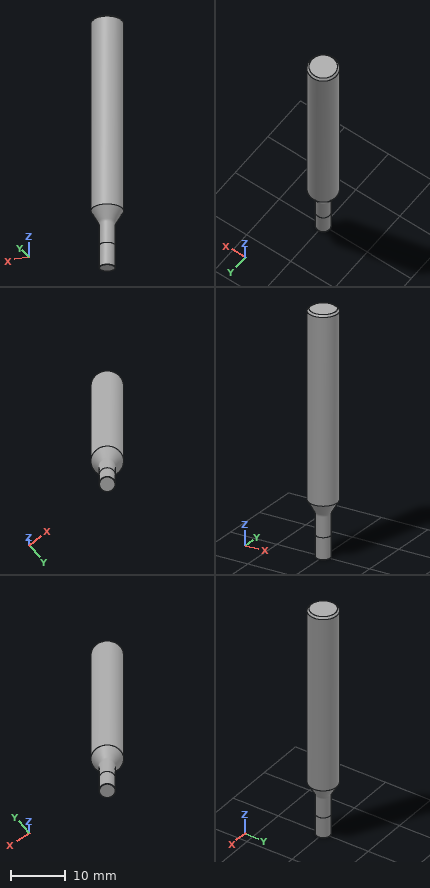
import cadquery as cq
import math

overall_length = 50.0
shank_diameter = 6.0
shank_chamfer = 0.4
cutter_diameter = 3.0
cutter_length = 4.5
cutter_edge_chamfer = 0.08
taper_half_angle = math.radians(30)
taper_top_height = 11.55
neck_blend_radius = 1.1

shank_radius = shank_diameter / 2
cutter_radius = cutter_diameter / 2
neck_radius = cutter_radius

taper_height = (shank_radius - neck_radius) / math.tan(taper_half_angle)
corner_height = taper_top_height - taper_height
blend_tangent_length = neck_blend_radius * math.tan(taper_half_angle / 2)
blend_start_height = corner_height - blend_tangent_length
blend_center_radius = neck_radius + neck_blend_radius


def blend_point(angle):
    """Point on the blend arc, with the angle measured up from the neck end."""
    radius = blend_center_radius - neck_blend_radius * math.cos(angle)
    height = blend_start_height + neck_blend_radius * math.sin(angle)
    return radius, height


def make_holder():
    """Shank, taper and neck, turned as one piece about Z."""
    return (
        cq.Workplane("XZ")
        .moveTo(0, cutter_length)
        .lineTo(neck_radius, cutter_length)
        .lineTo(neck_radius, blend_start_height)
        .threePointArc(blend_point(taper_half_angle / 2), blend_point(taper_half_angle))
        .lineTo(shank_radius, taper_top_height)
        .lineTo(shank_radius, overall_length)
        .lineTo(0, overall_length)
        .close()
        .revolve(360, (0, 0, 0), (0, 1, 0))
        .faces(">Z")
        .chamfer(shank_chamfer)
    )


def make_cutter():
    """Cylindrical cutting head, seated on the flat end of the neck."""
    return (
        cq.Workplane("XY")
        .circle(cutter_radius)
        .extrude(cutter_length)
        .faces("<Z")
        .chamfer(cutter_edge_chamfer)
    )


holder = make_holder()
cutter = make_cutter()

result = cq.Compound.makeCompound([holder.val(), cutter.val()])